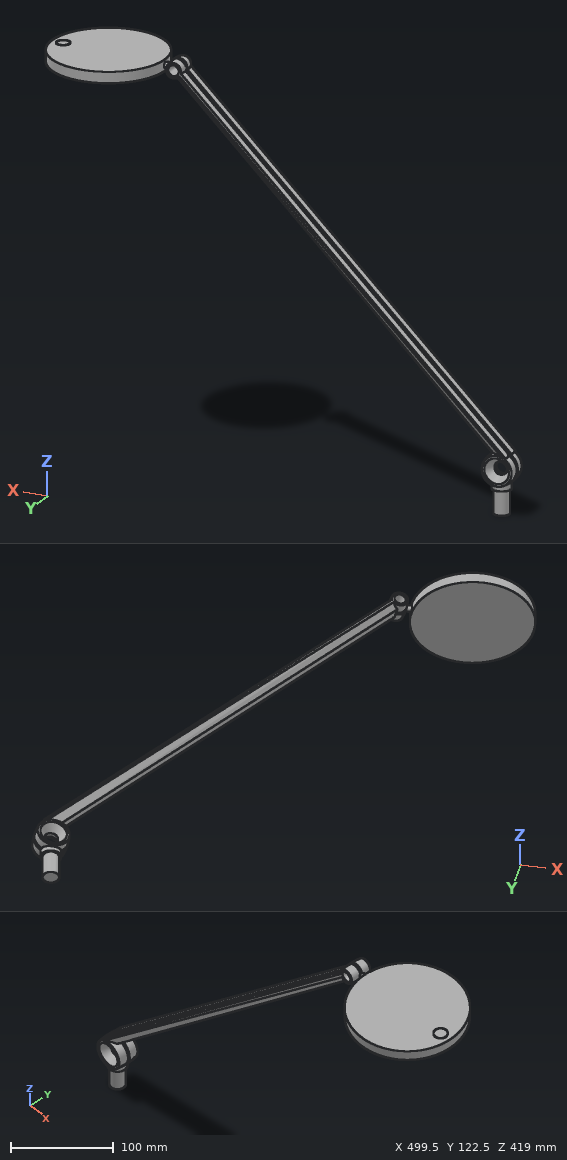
import cadquery as cq
import math

total_length = 499.5
total_height = 419.0
joint_width = 24.0

lower_radius = 17.0
lower_edge_radius = 16.0
lower_bore = 13.5
lower_dish = 26.5
collar_diameter = 20.0
collar_bottom = -21.5
post_diameter = 16.5
post_bottom = -47.5

upper_radius = 9.0
upper_edge_radius = 8.0
upper_bore = 5.5
upper_dish = 11.5
upper_x = 346.5
upper_z = total_height + post_bottom - upper_radius

head_diameter = 122.5
head_thickness = 12.0
head_x = total_length - lower_radius - head_diameter / 2
neck_diameter = 6.5
button_diameter = 14.0
button_offset = 48.5
button_depth = 0.5

arm_angle = 45.0
arm_start = 3.5
arm_lower_top = 17.0
arm_lower_side = 2.0
arm_bottom = 6.5
arm_upper_top = 16.0
arm_upper_side = 3.5
arm_bottom_width = 12.0
arm_groove_width = 4.0
arm_groove_depth = 1.5

joint_groove_width = 1.5
joint_groove_depth = 1.0
dish_floor_half = 2.5


def joint(radius, edge_radius, bore, dish):
    """Crowned barrel along Y, with a centre groove; returns the barrel and its bore cutter."""
    half = joint_width / 2
    barrel = (
        cq.Workplane("XY")
        .moveTo(0, -half)
        .lineTo(edge_radius, -half)
        .threePointArc((radius, 0), (edge_radius, half))
        .lineTo(0, half)
        .close()
        .revolve(360, (0, 0, 0), (0, 1, 0))
    )
    groove = (
        cq.Workplane("XZ")
        .circle(radius + joint_groove_depth)
        .circle(radius - joint_groove_depth)
        .extrude(joint_groove_width / 2, both=True)
    )
    cutter = (
        cq.Workplane("XY")
        .moveTo(0, -half)
        .lineTo(dish / 2, -half)
        .lineTo(bore / 2, -dish_floor_half)
        .lineTo(bore / 2, dish_floor_half)
        .lineTo(dish / 2, half)
        .lineTo(0, half)
        .close()
        .revolve(360, (0, 0, 0), (0, 1, 0))
    )
    return barrel.cut(groove), cutter


def arm_section(bottom, top, side):
    """Closed arm outline: grooved top, short upright sides, sides sloping in to the bottom."""
    half = joint_width / 2
    groove = arm_groove_width / 2
    right_side = [
        (groove, top - arm_groove_depth),
        (groove, top),
        (half, top),
        (half, top - side),
        (arm_bottom_width / 2, bottom),
    ]
    left_side = [(-y, height) for y, height in reversed(right_side)]
    return right_side + left_side


def arm():
    """Tapered arm from the lower joint to the upper joint."""
    angle = math.radians(arm_angle)
    direction = cq.Vector(math.cos(angle), 0, math.sin(angle))
    length = upper_x * direction.x + upper_z * direction.z - arm_start
    start = cq.Plane(origin=(direction * arm_start).toTuple(), xDir=(0, 1, 0), normal=direction.toTuple())
    return (
        cq.Workplane(start)
        .polyline(arm_section(arm_bottom, arm_lower_top, arm_lower_side))
        .close()
        .workplane(offset=length)
        .polyline(arm_section(arm_bottom, arm_upper_top, arm_upper_side))
        .close()
        .loft(ruled=True)
    )


def post():
    """Mounting post with a collar under the lower joint."""
    collar = cq.Workplane("XY").circle(collar_diameter / 2).extrude(collar_bottom)
    pin = cq.Workplane("XY").circle(post_diameter / 2).extrude(post_bottom)
    return collar.union(pin)


def head():
    """Round lamp head with a recessed button and a neck reaching the upper joint."""
    disc = (
        cq.Workplane("XY", origin=(head_x, 0, upper_z - head_thickness / 2))
        .circle(head_diameter / 2)
        .extrude(head_thickness)
        .faces(">Z")
        .workplane(origin=(head_x + button_offset, 0, 0))
        .circle(button_diameter / 2)
        .cutBlind(-button_depth)
    )
    neck = (
        cq.Workplane("YZ", origin=(upper_x, 0, upper_z))
        .circle(neck_diameter / 2)
        .extrude(head_x - upper_x)
    )
    return disc.union(neck)


lower_joint, lower_cutter = joint(lower_radius, lower_edge_radius, lower_bore, lower_dish)
upper_joint, upper_cutter = joint(upper_radius, upper_edge_radius, upper_bore, upper_dish)
upper_position = (upper_x, 0, upper_z)

result = (
    arm()
    .union(lower_joint)
    .union(upper_joint.translate(upper_position))
    .union(post())
    .union(head())
    .cut(lower_cutter)
    .cut(upper_cutter.translate(upper_position))
)